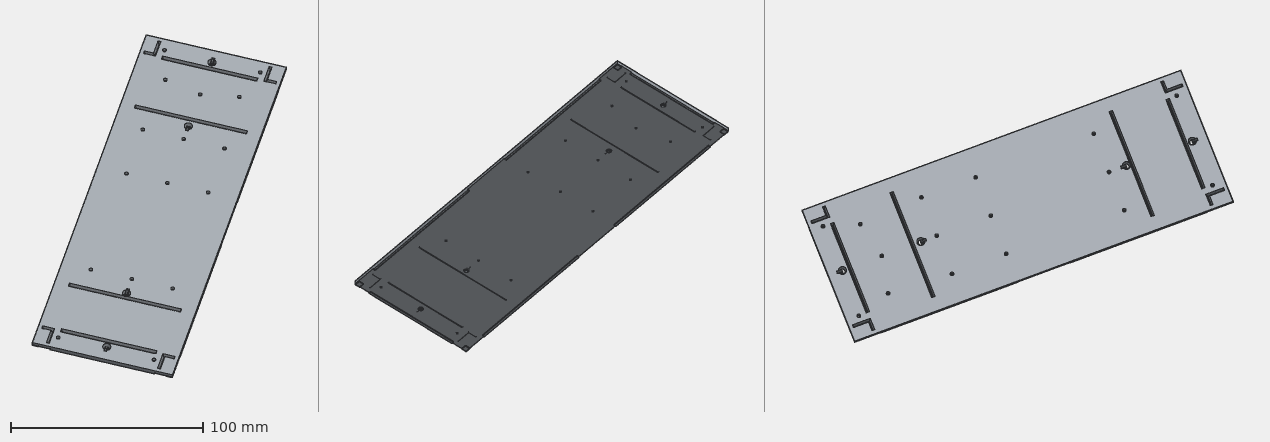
import cadquery as cq
import math

width = 76.0
length = 211.0
height = 2.7
standoff_height = 0.6
plate_thickness = height - standoff_height

rail_width = 1.3
end_rail_length = 56.5
side_rail_length = 76.0
side_rail_y = 52.8
foot_size = 3.0
foot_inset = 0.2

draft_angle = 20.0

hole_top_diameter = 2.0
hole_diameter = 1.0
corner_hole_x = 26.0
corner_hole_y = 98.5
upper_pair_x = 20.0
upper_pair_y = 80.0
upper_middle_y = 75.7
hole_row_x = 22.2
hole_rows_y = (45.2, 15.0, -50.9)

end_slot_length = 51.7
end_slot_width = 1.95
end_slot_y = 93.5
inner_slot_length = 60.8
inner_slot_width = 2.0
inner_slots_y = (58.7, -63.5)

corner_slot_width = 1.56
corner_slot_inner_x = 29.3
corner_slot_outer_x = 35.9
corner_slot_inner_y = 93.5
corner_slot_outer_y = 103.4

keyholes = ((97.7, 1), (54.0, -1), (-60.5, 1), (-97.3, -1))
head_diameter = 4.2
neck_width = 1.5
neck_length = 3.0

half_width = width / 2
half_length = length / 2
draft_slope = math.tan(math.radians(draft_angle))
corners = [(side_x, side_y) for side_x in (-1, 1) for side_y in (-1, 1)]


def standoff(size_x, size_y, x, y):
    """Block under the plate, centred on (x, y)."""
    return cq.Workplane("XY").center(x, y).rect(size_x, size_y).extrude(standoff_height)


def build_plate():
    plate = (
        cq.Workplane("XY", origin=(0, 0, standoff_height))
        .rect(width, length)
        .extrude(plate_thickness)
    )
    end_rail_y = half_length - rail_width / 2
    for side_y in (-1, 1):
        plate = plate.union(standoff(end_rail_length, rail_width, 0, side_y * end_rail_y))
    side_rail_x = half_width - rail_width / 2
    foot_x = half_width - foot_inset - foot_size / 2
    foot_y = half_length - foot_inset - foot_size / 2
    for side_x, side_y in corners:
        plate = plate.union(
            standoff(rail_width, side_rail_length, side_x * side_rail_x, side_y * side_rail_y)
        )
        plate = plate.union(standoff(foot_size, foot_size, side_x * foot_x, side_y * foot_y))
    return plate


def top_plane(x, y):
    """Sketch plane on the top face, pointing down into the plate."""
    return cq.Workplane(cq.Plane(origin=(x, y, height), xDir=(1, 0, 0), normal=(0, 0, -1)))


def screw_hole(x, y):
    """Round hole through the plate with a tapered mouth."""
    mouth_depth = (hole_top_diameter - hole_diameter) / 2 / draft_slope
    mouth = top_plane(x, y).circle(hole_top_diameter / 2).extrude(mouth_depth, taper=draft_angle)
    shaft = top_plane(x, y).circle(hole_diameter / 2).extrude(plate_thickness)
    return mouth.union(shaft)


def drafted_slot(size_x, size_y, x, y):
    return top_plane(x, y).rect(size_x, size_y).extrude(plate_thickness, taper=draft_angle)


def corner_slot(side_x, side_y):
    """L-shaped slot with its corner towards the middle of the plate."""
    leg_x = corner_slot_outer_x - corner_slot_inner_x
    leg_y = corner_slot_outer_y - corner_slot_inner_y
    corner_x = corner_slot_inner_x + corner_slot_width / 2
    corner_y = corner_slot_inner_y + corner_slot_width / 2
    along_x = drafted_slot(
        leg_x, corner_slot_width, side_x * (corner_slot_inner_x + leg_x / 2), side_y * corner_y
    )
    along_y = drafted_slot(
        corner_slot_width, leg_y, side_x * corner_x, side_y * (corner_slot_inner_y + leg_y / 2)
    )
    return along_x.union(along_y)


def keyhole(y, direction):
    """Drafted head, entered by a tongue that carries the V-shaped neck."""
    tongue = (
        top_plane(0, y + direction * neck_length / 2)
        .rect(neck_width, neck_length)
        .extrude(plate_thickness)
    )
    half_neck = neck_width / 2
    neck = (
        cq.Workplane("XZ", origin=(0, y, height))
        .polyline([(-half_neck, 0), (half_neck, 0), (0, -half_neck / draft_slope)])
        .close()
        .extrude(-direction * neck_length)
    )
    head = top_plane(0, y).circle(head_diameter / 2).extrude(plate_thickness, taper=draft_angle)
    return head.cut(tongue).union(neck)


result = build_plate()

hole_points = [(side_x * corner_hole_x, side_y * corner_hole_y) for side_x, side_y in corners]
hole_points += [(-upper_pair_x, upper_pair_y), (upper_pair_x, upper_pair_y), (0, upper_middle_y)]
hole_points += [(x, y) for x in (-hole_row_x, 0, hole_row_x) for y in hole_rows_y]
for x, y in hole_points:
    result = result.cut(screw_hole(x, y))

for side_y in (-1, 1):
    result = result.cut(drafted_slot(end_slot_length, end_slot_width, 0, side_y * end_slot_y))
for side_x, side_y in corners:
    result = result.cut(corner_slot(side_x, side_y))
for slot_y in inner_slots_y:
    result = result.cut(drafted_slot(inner_slot_length, inner_slot_width, 0, slot_y))
for head_y, neck_direction in keyholes:
    result = result.cut(keyhole(head_y, neck_direction))